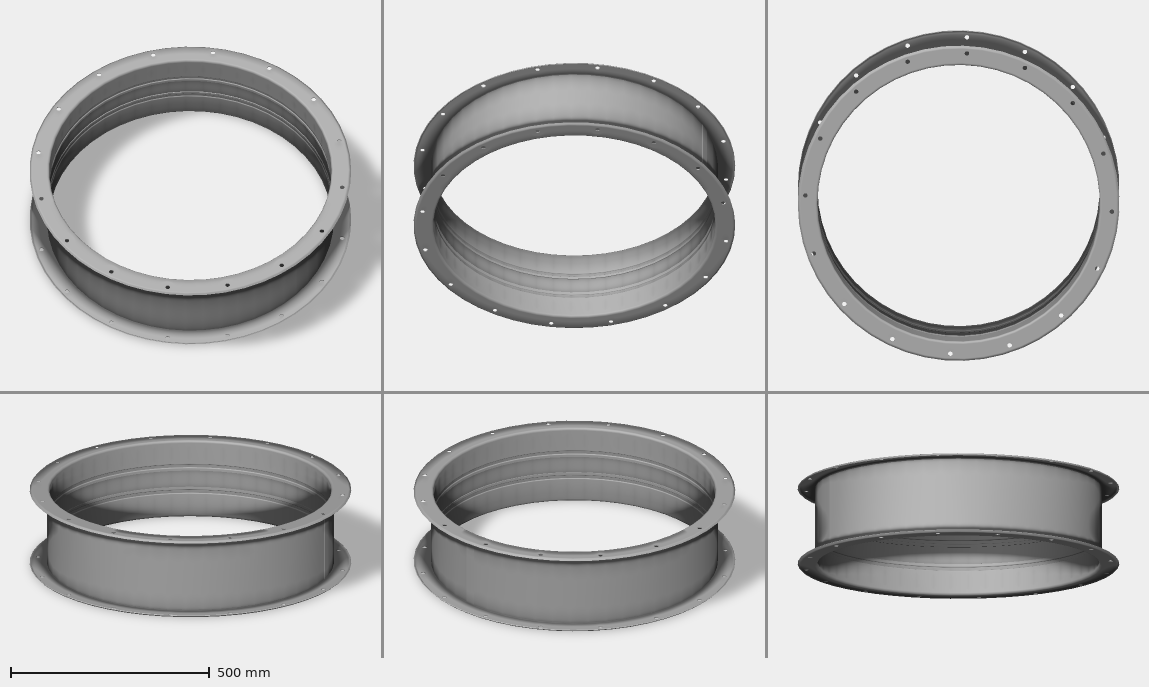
import cadquery as cq
import math

flange_radius = 405.0
height = 203.0

sheet = 2.0
bend_inside = 4.0
bend_outside = bend_inside + sheet

lip_length = 4.0
lip_angle = 45

sleeve_outer = 361.0
sleeve_inner = sleeve_outer - sheet
seam_width = 27.0
seam_rise = 1.0

bead_depth = sheet
bead_height = 34.0
crest_half = 3.65
bead_bend = 0.4

neck_outer = sleeve_inner - bead_depth
neck_inner = neck_outer - sheet
neck_end = 22.0

bolt_count = 16
bolt_circle_radius = 386.0
bolt_hole_diameter = 11.0

flange_top = height / 2
flange_under = flange_top - sheet
bend_center_height = flange_top - bend_outside
neck_bend_radius = neck_inner + bend_outside
lip_turn = math.radians(lip_angle)
lip_run = lip_length * math.cos(lip_turn)
lip_drop = lip_length * math.sin(lip_turn)
rim_bend_radius = flange_radius - lip_run - bend_outside * math.sin(lip_turn)

bead_bend_sum = 2 * bead_bend + sheet
bead_turn = math.acos(1 - bead_depth / bead_bend_sum)
foot_half = crest_half + bead_bend_sum * math.sin(bead_turn)


def neck_bend_point(radius, angle):
    """Section point on the bend from neck to flange; angle 0 is at the neck, 90 at the flange."""
    turn = math.radians(angle)
    return (
        neck_bend_radius - radius * math.cos(turn),
        bend_center_height + radius * math.sin(turn),
    )


def rim_bend_point(radius, angle):
    """Section point on the bend from flange to lip; angle 0 is at the flange."""
    turn = math.radians(angle)
    return (
        rim_bend_radius + radius * math.sin(turn),
        bend_center_height + radius * math.cos(turn),
    )


def add_bead(profile, neck_radius, foot_bend, crest_bend, direction):
    """Continue one side of the neck section over the bead, upward (1) or downward (-1)."""
    crest_radius = neck_radius + bead_depth

    def foot_point(side, turn):
        along = side * (foot_half - foot_bend * math.sin(turn))
        return (neck_radius + foot_bend * (1 - math.cos(turn)), bead_height + along)

    def crest_point(side, turn):
        along = side * (crest_half + crest_bend * math.sin(turn))
        return (crest_radius - crest_bend * (1 - math.cos(turn)), bead_height + along)

    near = -direction
    far = direction
    half_turn = bead_turn / 2
    return (
        profile.lineTo(*foot_point(near, 0))
        .threePointArc(foot_point(near, half_turn), foot_point(near, bead_turn))
        .threePointArc(crest_point(near, half_turn), crest_point(near, 0))
        .lineTo(*crest_point(far, 0))
        .threePointArc(crest_point(far, half_turn), crest_point(far, bead_turn))
        .threePointArc(foot_point(far, half_turn), foot_point(far, 0))
    )


def make_collar():
    """Upper collar: neck with bead, flange and sloping lip, all bent from one sheet."""
    section = cq.Workplane("XZ").moveTo(neck_outer, neck_end).lineTo(neck_inner, neck_end)
    section = add_bead(section, neck_inner, bead_bend + sheet, bead_bend, 1)
    section = (
        section.lineTo(neck_inner, bend_center_height)
        .threePointArc(neck_bend_point(bend_outside, 45), neck_bend_point(bend_outside, 90))
        .lineTo(rim_bend_radius, flange_top)
        .threePointArc(
            rim_bend_point(bend_outside, lip_angle / 2),
            rim_bend_point(bend_outside, lip_angle),
        )
        .line(lip_run, -lip_drop)
        .line(-sheet * math.sin(lip_turn), -sheet * math.cos(lip_turn))
        .line(-lip_run, lip_drop)
        .threePointArc(
            rim_bend_point(bend_inside, lip_angle / 2),
            rim_bend_point(bend_inside, 0),
        )
        .lineTo(neck_bend_radius, flange_under)
        .threePointArc(neck_bend_point(bend_inside, 45), neck_bend_point(bend_inside, 0))
    )
    section = add_bead(section, neck_outer, bead_bend, bead_bend + sheet, -1)
    ring = section.close().revolve(360, (0, 0, 0), (0, 1, 0))

    half_pitch = 180 / bolt_count
    bolt_holes = (
        cq.Workplane("XY")
        .polarArray(bolt_circle_radius, half_pitch, 360, bolt_count)
        .circle(bolt_hole_diameter / 2)
        .extrude(height)
    )
    return ring.cut(bolt_holes)


def make_sleeve():
    """Plain tube over both necks, with a slightly raised joint strip on its -X side."""
    def tube(outer_radius):
        return (
            cq.Workplane("XY", origin=(0, 0, -bend_center_height))
            .circle(outer_radius)
            .circle(sleeve_inner)
            .extrude(2 * bend_center_height)
        )

    strip_zone = (
        cq.Workplane("XY")
        .center(-sleeve_outer, 0)
        .box(sleeve_outer, seam_width, height)
    )
    seam_strip = tube(sleeve_outer + seam_rise).intersect(strip_zone)
    return tube(sleeve_outer).union(seam_strip)


upper_collar = make_collar()
lower_collar = upper_collar.mirror("XY")
sleeve = make_sleeve()

result = cq.Compound.makeCompound(
    [
        sleeve.solids().val(),
        upper_collar.solids().val(),
        lower_collar.solids().val(),
    ]
)